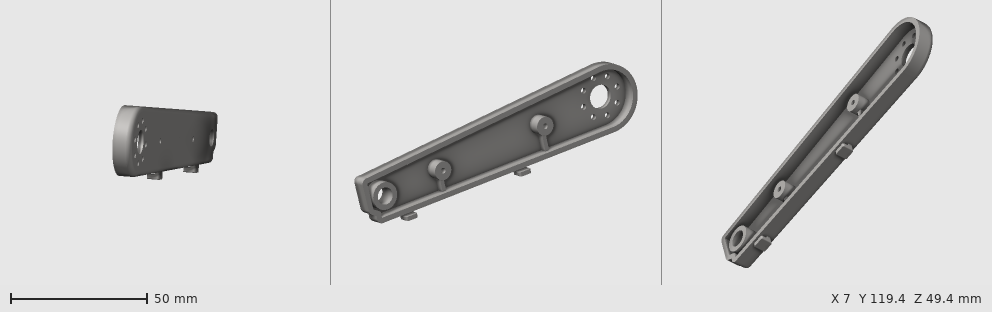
import cadquery as cq
import math

TILT = 15
TAPER = 2
THICKNESS = 7.0
WALL = 2.0
FLOOR = 2.0
BACK_FILLET = 1.9
PIVOT_DISTANCE = 100.0
HEAD_RADIUS = 13.0
CAVITY_RADIUS = HEAD_RADIUS - WALL
CAVITY_END_OFFSET = 5.9

NOTCH_OUTER = (106.1, -3.0)
NOTCH_INNER = (103.4, -4.9)

HEAD_BORE = 9.0
BOLT_CIRCLE = 15.8
BOLT_COUNT = 8
SMALL_HOLE = 2.2
PIVOT_BOSS = 10.4
PIVOT_BORE = 6.5

POST_PLACES = (28.1, 74.0)
POST_DIAMETER = 7.0
RIB_WIDTH = 1.5
RIB_START = 2.2

HOOK_PLACES = (40.4, 90.8)
HOOK_WIDTH = 5.0
HOOK_START = 0.1
HOOK_END = 4.9
HOOK_STEM_START = 3.0
HOOK_STEM_HEIGHT = 1.3
HOOK_HEIGHT = 3.0
HOOK_CORNER = 0.7
HOOK_BOTTOM_FILLET = 0.5

sin_taper = math.sin(math.radians(TAPER))
cos_taper = math.cos(math.radians(TAPER))
tan_taper = math.tan(math.radians(TAPER))


def half_height(radius, y):
    """Half height at y of the tapered outline tangent to a circle of this radius."""
    return radius / cos_taper - y * tan_taper


def cylinder(y, z, diameter, start, end):
    return (
        cq.Workplane("YZ", origin=(start, y, z))
        .circle(diameter / 2)
        .extrude(end - start)
    )


def cavity_outline():
    """Closed cavity wire in the plane of the rim."""
    tangent_y = CAVITY_RADIUS * sin_taper
    tangent_z = CAVITY_RADIUS * cos_taper

    wall_y = PIVOT_DISTANCE + CAVITY_END_OFFSET * cos_taper
    wall_z = -CAVITY_END_OFFSET * sin_taper
    rise = half_height(CAVITY_RADIUS, wall_y) - wall_z
    top_y = wall_y + rise * cos_taper * sin_taper
    top_z = half_height(CAVITY_RADIUS, top_y)

    notch_y, notch_z = NOTCH_INNER
    drop = half_height(CAVITY_RADIUS, notch_y) + notch_z
    bottom_y = notch_y + drop * cos_taper * sin_taper
    bottom_z = -half_height(CAVITY_RADIUS, bottom_y)

    return (
        cq.Workplane("YZ")
        .moveTo(tangent_y, tangent_z)
        .lineTo(top_y, top_z)
        .lineTo(*NOTCH_OUTER)
        .lineTo(*NOTCH_INNER)
        .lineTo(bottom_y, bottom_z)
        .lineTo(tangent_y, -tangent_z)
        .threePointArc((-CAVITY_RADIUS, 0), (tangent_y, tangent_z))
        .close()
    )


def shell():
    """Tapered tray with a rounded back edge."""
    body = cavity_outline().offset2D(WALL, "arc").extrude(THICKNESS)
    body = body.faces(">X").edges().fillet(BACK_FILLET)
    return body.cut(cavity_outline().extrude(THICKNESS - FLOOR))


def post_with_rib(y):
    """Post on the arm axis, tied to the bottom wall by a rib square to that wall."""
    height = half_height(CAVITY_RADIUS, y) * cos_taper + WALL / 2
    rib_depth = THICKNESS - FLOOR - RIB_START
    rib = (
        cq.Workplane("XY")
        .box(rib_depth, RIB_WIDTH, height, centered=(False, True, False))
        .translate((RIB_START, 0, -height))
        .rotate((0, 0, 0), (1, 0, 0), TAPER)
        .translate((0, y, 0))
    )
    return rib.union(cylinder(y, 0, POST_DIAMETER, 0, THICKNESS - FLOOR))


def hook(y):
    """L-shaped hook hanging square to the bottom edge."""
    depth = HOOK_END - HOOK_START
    block = (
        cq.Workplane("XY")
        .box(depth, HOOK_WIDTH, HOOK_HEIGHT + WALL / 2, centered=(False, True, False))
        .translate((HOOK_START, 0, -HOOK_HEIGHT))
    )
    round_corners = block.edges("|Z").fillet(HOOK_CORNER)
    round_bottom = block.faces("<Z").edges("|X").fillet(HOOK_BOTTOM_FILLET)
    foot = round_corners.intersect(round_bottom)
    gap_height = HOOK_STEM_HEIGHT + WALL / 2
    gap = (
        cq.Workplane("XY")
        .box(HOOK_STEM_START, HOOK_WIDTH, gap_height, centered=(False, True, False))
        .translate((0, 0, -HOOK_STEM_HEIGHT))
    )
    return (
        foot.cut(gap)
        .rotate((0, 0, 0), (1, 0, 0), TAPER)
        .translate((0, y, -half_height(HEAD_RADIUS, y)))
    )


arm = shell()
arm = arm.union(cylinder(PIVOT_DISTANCE, 0, PIVOT_BOSS, 0, THICKNESS))
for place in POST_PLACES:
    arm = arm.union(post_with_rib(place))
for place in HOOK_PLACES:
    arm = arm.union(hook(place))

arm = arm.cut(cylinder(0, 0, HEAD_BORE, 0, THICKNESS))
arm = arm.cut(cylinder(PIVOT_DISTANCE, 0, PIVOT_BORE, 0, THICKNESS))
for place in POST_PLACES:
    arm = arm.cut(cylinder(place, 0, SMALL_HOLE, 0, THICKNESS))

bolt_step = 360 / BOLT_COUNT
for index in range(BOLT_COUNT):
    angle = math.radians(TILT + (index + 0.5) * bolt_step)
    bolt_y = BOLT_CIRCLE / 2 * math.cos(angle)
    bolt_z = BOLT_CIRCLE / 2 * math.sin(angle)
    arm = arm.cut(cylinder(bolt_y, bolt_z, SMALL_HOLE, 0, THICKNESS))

result = arm.rotate((0, 0, 0), (1, 0, 0), -TILT)